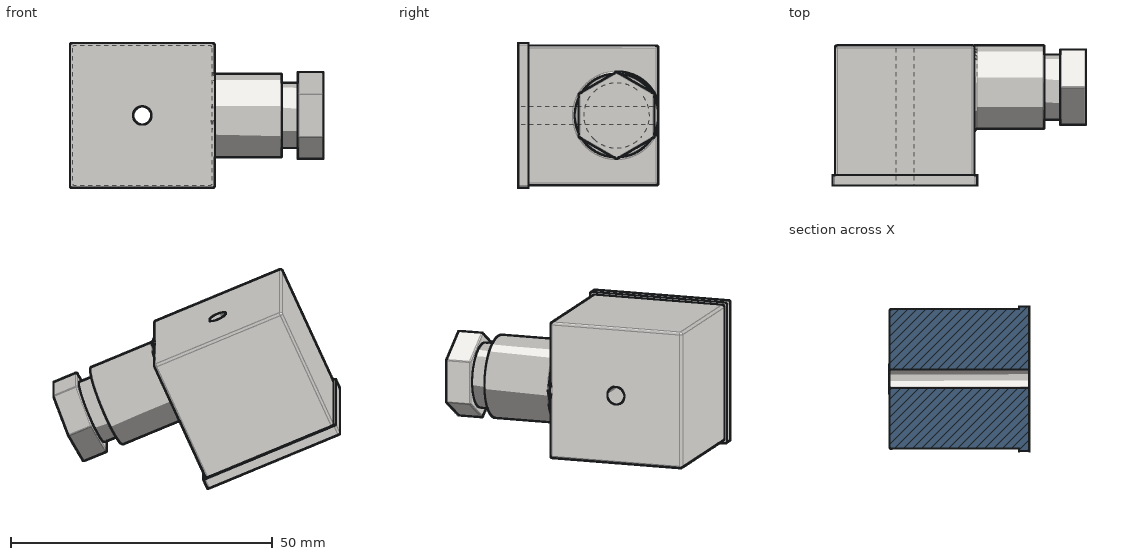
import cadquery as cq
import math

total_length = 48.5
total_depth = 26.8
flange_side = 27.7
flange_thickness = 2.05
flange_corner_radius = 0.45

housing_inset = 0.5
housing_side = flange_side - 2 * housing_inset
housing_edge_radius = 0.5

barrel_diameter = 16.0
barrel_end_x = 40.5
barrel_edge_radius = 0.25
root_fillet_radius = 0.45
neck_diameter = 12.5
nut_length = 5.0
nut_across_flats = 14.45
nut_edge_radius = 0.25
gland_y = total_depth - barrel_diameter / 2

screw_hole_diameter = 3.45

center_x = flange_side / 2
housing_end_x = flange_side - housing_inset
nut_start_x = total_length - nut_length


def make_flange():
    return (
        cq.Workplane("XY")
        .box(flange_side, flange_thickness, flange_side)
        .edges("|Y")
        .fillet(flange_corner_radius)
        .translate((center_x, flange_thickness / 2, 0))
    )


def make_housing():
    depth = total_depth - flange_thickness
    return (
        cq.Workplane("XY")
        .box(housing_side, depth, housing_side)
        .edges("|Y or >Y")
        .fillet(housing_edge_radius)
        .translate((center_x, flange_thickness + depth / 2, 0))
    )


def gland_plane(x):
    """Plane across the gland axis; its local x runs along +Y."""
    return cq.Workplane("YZ", origin=(x, gland_y, 0))


def make_barrel():
    start_x = housing_end_x - housing_edge_radius
    barrel = gland_plane(start_x).circle(barrel_diameter / 2).extrude(barrel_end_x - start_x)
    return barrel.faces(">X").edges().fillet(barrel_edge_radius)


def make_neck():
    return gland_plane(barrel_end_x).circle(neck_diameter / 2).extrude(nut_start_x - barrel_end_x)


def make_nut():
    across_corners = nut_across_flats / math.cos(math.pi / 6)
    nut = (
        gland_plane(nut_start_x)
        .transformed(rotate=(0, 0, 90))
        .polygon(6, across_corners)
        .extrude(nut_length)
    )
    return nut.edges().fillet(nut_edge_radius)


def make_screw_hole():
    return (
        cq.Workplane("XZ", origin=(center_x, 0, 0))
        .circle(screw_hole_diameter / 2)
        .extrude(-total_depth)
    )


def make_root_fillet():
    """Concave flare where the barrel leaves the housing, trimmed flush with the housing back."""
    barrel_radius = barrel_diameter / 2
    diagonal = root_fillet_radius * (1 - math.sqrt(0.5))
    flare = (
        cq.Workplane("XY", origin=(housing_end_x, gland_y, 0))
        .lineTo(0, barrel_radius + root_fillet_radius)
        .threePointArc(
            (diagonal, barrel_radius + diagonal),
            (root_fillet_radius, barrel_radius),
        )
        .lineTo(root_fillet_radius, 0)
        .close()
        .revolve(360, (0, 0, 0), (1, 0, 0))
    )
    envelope = (
        cq.Workplane("XY")
        .box(total_length, total_depth, flange_side)
        .translate((total_length / 2, total_depth / 2, 0))
    )
    return flare.intersect(envelope)


result = (
    make_flange()
    .union(make_housing())
    .union(make_barrel())
    .union(make_root_fillet())
    .union(make_neck())
    .union(make_nut())
    .cut(make_screw_hole())
)